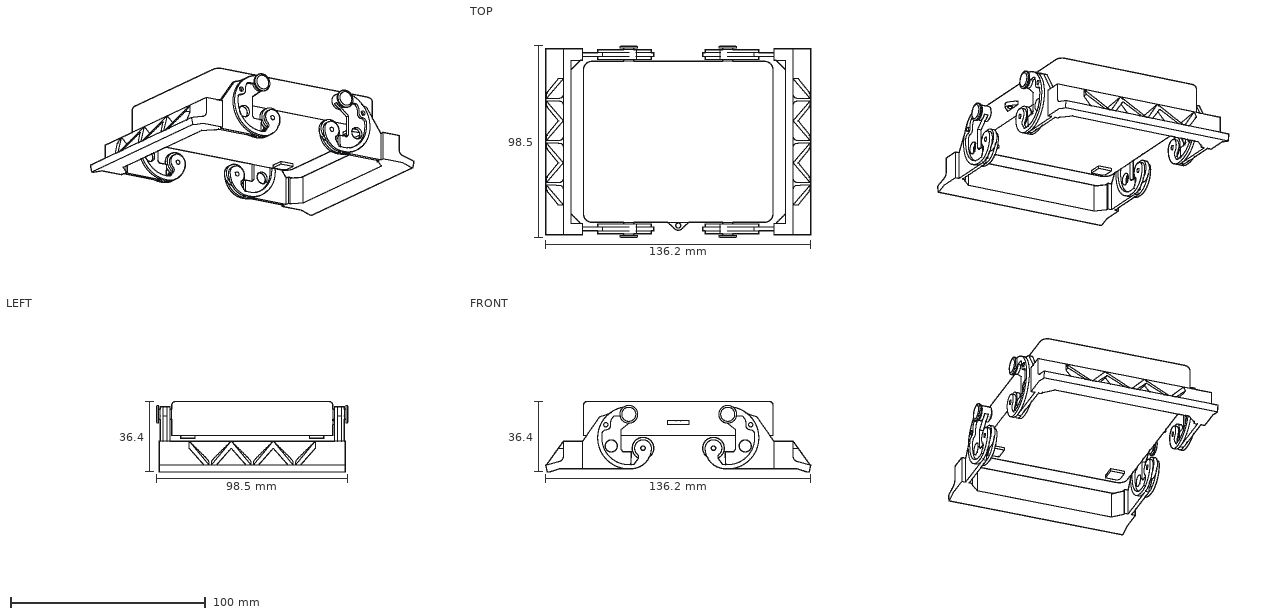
import cadquery as cq
import math


LENGTH = 136.25
WIDTH = 98.5
HEIGHT = 36.39

COVER_LENGTH = 97.5
COVER_WIDTH = 82.8
COVER_BOTTOM = 18.8
COVER_CORNER_RADIUS = 4.5
COVER_TOP_RADIUS = 2.0

PAD_DROP = 1.4
PAD_WIDTH = 7.5
PAD_OUTER_Y = 36.8
PAD_OUTER_X = 44.0
PAD_CORNER_RADIUS = 1.9

EYELET_BOTTOM = 24.4
EYELET_THICKNESS = 2.1
EYELET_BASE_HALF = 5.4
EYELET_HOLE_Y = 43.0
EYELET_HOLE_RADIUS = 1.25
EYELET_TIP_RADIUS = 2.5
EYELET_EMBED = 1.0

HANDLE_WIDTH = 95.7
HANDLE_OUTER_X = LENGTH / 2
HANDLE_WALL_X = 59.0
HANDLE_INNER_X = 55.05
HANDLE_END_X = 49.1
HANDLE_TOP = 16.0
HANDLE_BOTTOM = 1.7
HANDLE_END_INNER_Y = 41.85
LIP_BOTTOM_RUN_X = 61.0
LIP_FOOT_OUTER_X = 67.3
LIP_FOOT_INNER_X = 66.3
LIP_NOSE_Z = 3.6
LIP_ROOT_Z = 6.1
LIP_ROOT_RADIUS = 2.7
CORNER_WEB_LEG = 4.9
CORNER_WEB_TOP = 15.6

RIB_PEAKS = 4
RIB_RUN = 10.8
RIB_DEPTH = 3.7
RIB_FOOT_X = 67.7
RIB_FOOT_Z = 3.8
RIB_ROOT_Z = 2.5
NOTCH_SLOT_HALF_WIDTH = 0.6
NOTCH_APEX_Z = 5.3
NOTCH_DRAFT = 10.0

PLATE_THICKNESS = 1.55
ARM_THICKNESS = 2.0
PLATE_INNER_Y = 42.2
ARM_INNER_Y = PLATE_INNER_Y + PLATE_THICKNESS
ARM_OUTER_Y = ARM_INNER_Y + ARM_THICKNESS
PLATE_OUTER_Y = ARM_OUTER_Y + PLATE_THICKNESS

PLATE_CENTER_X = -25.4
PLATE_RADIUS = 16.0
PLATE_INNER_RADIUS = 13.85
PLATE_CENTER_Z = HANDLE_BOTTOM + PLATE_RADIUS
RIVET_HOLE_X = -37.2
RIVET_HOLE_Z = 24.4
RIVET_HOLE_RADIUS = 1.1
RIVET_SWELL_START = (-39.2, 19.6)
RIVET_SWELL_ARCS = [
    ((-38.6, 21.1), (-37.3, 21.8)),
    ((-35.4, 22.5), (-34.7, 24.3)),
    ((-34.5, 26.7), (-33.0, 28.8)),
]
ARM_HOLE_X = -34.4
ARM_HOLE_Z = 13.5
ARM_HOLE_RADIUS = 3.05

SHOULDER_FOOT = (-40.9, 27.7)
SHOULDER_MID = (-40.15, 28.5)
SHOULDER_TOP = (-39.0, 28.8)
MOUTH_X = -29.3
MOUTH_TOP_Z = 22.0
MOUTH_FLOOR_Z = 10.6
MOUTH_CHAMFER_X = 0.9
MOUTH_CHAMFER_Z = 1.1
MOUTH_LIP_X = -24.0
ARM_TOE_X = -24.4
ARM_EYE_START_ANGLE = 111
ARM_EYE_END_ANGLE = -30

HOOK_X = -18.1
HOOK_Z = 12.35
HOOK_RADIUS = 4.3
ROLLER_RADIUS = 5.6
HOOK_HOLE_RADIUS = 1.1
HOOK_NECK_ANGLE = 230
NECK_ARC_MID = (-20.4, 7.9)
NECK_ARC_END = (-20.8, 6.8)
NECK_FOOT = (-22.7, 4.1)

PIN_X = PLATE_CENTER_X
PIN_Z = 29.75
PIN_RADIUS = 2.65
PIN_HEAD_RADIUS = 4.57
PIN_HEAD_THICKNESS = 1.2
PIN_HEAD_BEVEL = 0.95
PIN_HEAD_BEVEL_DEPTH = 0.4
PIN_EMBED = 1.0
LOBE_RADIUS = PLATE_CENTER_Z + PLATE_RADIUS - PIN_Z


def slab(outline, y_inner, y_outer):
    """Extrude an XZ outline between two distances on the -Y side."""
    return outline.extrude(y_outer - y_inner).translate((0, -y_inner, 0))


def rod(x, z, radius, y_inner, y_outer):
    """Cylinder along Y on the -Y side."""
    return slab(cq.Workplane("XZ").center(x, z).circle(radius), y_inner, y_outer)


def polar(x, z, radius, degrees):
    """Point on a circle about (x, z)."""
    angle = math.radians(degrees)
    return (x + radius * math.cos(angle), z + radius * math.sin(angle))


def both_sides(body, plane):
    """The body together with its mirror image."""
    return body.union(body.mirror(plane))


def make_cover():
    cover = (
        cq.Workplane("XY")
        .workplane(offset=COVER_BOTTOM)
        .rect(COVER_LENGTH, COVER_WIDTH)
        .extrude(HEIGHT - COVER_BOTTOM)
        .edges("|Z").fillet(COVER_CORNER_RADIUS)
        .faces(">Z").edges().fillet(COVER_TOP_RADIUS)
    )
    return cover.union(make_pads()).union(make_eyelet())


def make_pads():
    pad = (
        cq.Workplane("XY")
        .workplane(offset=COVER_BOTTOM - PAD_DROP)
        .moveTo(-PAD_OUTER_X + PAD_WIDTH / 2, -PAD_OUTER_Y + PAD_WIDTH / 2)
        .rect(PAD_WIDTH, PAD_WIDTH)
        .extrude(2 * PAD_DROP)
        .edges("|Z and <X and <Y").fillet(PAD_CORNER_RADIUS)
    )
    return both_sides(both_sides(pad, "XZ"), "YZ")


def make_eyelet():
    wall_y = -COVER_WIDTH / 2
    reach = EYELET_HOLE_Y + wall_y
    flank = math.hypot(EYELET_BASE_HALF, reach)
    angle = math.atan2(reach, EYELET_BASE_HALF) + math.asin(EYELET_TIP_RADIUS / flank)
    touch_x = EYELET_TIP_RADIUS * math.sin(angle)
    touch_y = -EYELET_HOLE_Y - EYELET_TIP_RADIUS * math.cos(angle)
    root_y = wall_y + EYELET_EMBED
    return (
        cq.Workplane("XY")
        .workplane(offset=EYELET_BOTTOM)
        .moveTo(-EYELET_BASE_HALF, root_y)
        .lineTo(-EYELET_BASE_HALF, wall_y)
        .lineTo(-touch_x, touch_y)
        .threePointArc((0, -EYELET_HOLE_Y - EYELET_TIP_RADIUS), (touch_x, touch_y))
        .lineTo(EYELET_BASE_HALF, wall_y)
        .lineTo(EYELET_BASE_HALF, root_y)
        .close()
        .moveTo(0, -EYELET_HOLE_Y)
        .circle(EYELET_HOLE_RADIUS)
        .extrude(EYELET_THICKNESS)
    )


def make_handle():
    section = (
        cq.Workplane("XZ")
        .moveTo(-HANDLE_END_X, HANDLE_BOTTOM)
        .lineTo(-HANDLE_END_X, HANDLE_TOP)
        .lineTo(-HANDLE_WALL_X, HANDLE_TOP)
        .lineTo(-HANDLE_WALL_X, LIP_ROOT_Z)
        .lineTo(-HANDLE_OUTER_X, LIP_NOSE_Z)
        .lineTo(-LIP_FOOT_OUTER_X, 0)
        .lineTo(-LIP_FOOT_INNER_X, 0)
        .lineTo(-LIP_BOTTOM_RUN_X, HANDLE_BOTTOM)
        .close()
    )
    handle = section.extrude(HANDLE_WIDTH / 2, both=True)
    root_edge = cq.selectors.NearestToPointSelector((-HANDLE_WALL_X, 0, LIP_ROOT_Z))
    handle = handle.edges(root_edge).fillet(LIP_ROOT_RADIUS)
    opening = cq.Workplane("XY").box(
        HANDLE_INNER_X - HANDLE_END_X,
        2 * HANDLE_END_INNER_Y,
        HANDLE_TOP,
        centered=(False, True, False),
    ).translate((-HANDLE_INNER_X, 0, 0))
    web = (
        cq.Workplane("XY")
        .workplane(offset=HANDLE_BOTTOM)
        .moveTo(-HANDLE_INNER_X, -HANDLE_END_INNER_Y)
        .lineTo(-HANDLE_INNER_X + CORNER_WEB_LEG, -HANDLE_END_INNER_Y)
        .lineTo(-HANDLE_INNER_X, -HANDLE_END_INNER_Y + CORNER_WEB_LEG)
        .close()
        .extrude(CORNER_WEB_TOP - HANDLE_BOTTOM)
    )
    return handle.cut(opening).union(both_sides(web, "XZ")).union(make_ribs())


def make_ribs():
    steps = 2 * (RIB_PEAKS - 1)
    half_length = steps / 2 * RIB_RUN
    zigzag = []
    for step in range(steps + 1):
        z = HANDLE_TOP if step % 2 == 0 else RIB_FOOT_Z
        zigzag.append((half_length - step * RIB_RUN, z - RIB_DEPTH))
    ribs = (
        cq.Workplane("YZ")
        .workplane(offset=-RIB_FOOT_X)
        .polyline([(-half_length, HANDLE_TOP), (half_length, HANDLE_TOP)] + zigzag)
        .close()
        .extrude(RIB_FOOT_X - HANDLE_INNER_X)
    )
    for gap in range(RIB_PEAKS - 1):
        ribs = ribs.cut(make_notch((2 * gap + 1) * RIB_RUN - half_length))
    envelope = (
        cq.Workplane("XZ")
        .moveTo(-RIB_FOOT_X, RIB_ROOT_Z)
        .lineTo(-RIB_FOOT_X, RIB_FOOT_Z)
        .lineTo(-HANDLE_WALL_X, HANDLE_TOP)
        .lineTo(-HANDLE_INNER_X, HANDLE_TOP)
        .lineTo(-HANDLE_INNER_X, RIB_ROOT_Z)
        .close()
        .extrude(HANDLE_WIDTH / 2, both=True)
    )
    return ribs.intersect(envelope)


def make_notch(y):
    """V notch between two ribs, widening away from the handle wall, with a slot at its foot."""
    run_out = HANDLE_WALL_X - RIB_FOOT_X
    notch = (
        cq.Workplane("YZ", origin=(-HANDLE_WALL_X, y, 0))
        .moveTo(-RIB_RUN, HANDLE_TOP)
        .lineTo(0, NOTCH_APEX_Z)
        .lineTo(RIB_RUN, HANDLE_TOP)
        .close()
        .extrude(run_out, taper=-NOTCH_DRAFT)
    )
    slot_top = NOTCH_APEX_Z + NOTCH_SLOT_HALF_WIDTH * (HANDLE_TOP - NOTCH_APEX_Z) / RIB_RUN
    slot = (
        cq.Workplane("YZ", origin=(-HANDLE_WALL_X, y, slot_top / 2))
        .rect(2 * NOTCH_SLOT_HALF_WIDTH, slot_top)
        .extrude(run_out)
    )
    return notch.union(slot)


def make_arm():
    web = (
        cq.Workplane("XZ")
        .moveTo(-HANDLE_INNER_X, HANDLE_BOTTOM)
        .lineTo(-HANDLE_INNER_X, HANDLE_TOP)
        .lineTo(-HANDLE_END_X, HANDLE_TOP)
        .lineTo(*SHOULDER_FOOT)
        .threePointArc(SHOULDER_MID, SHOULDER_TOP)
        .lineTo(*polar(PIN_X, PIN_Z, LOBE_RADIUS, ARM_EYE_START_ANGLE))
        .threePointArc(
            (PIN_X + LOBE_RADIUS, PIN_Z),
            polar(PIN_X, PIN_Z, LOBE_RADIUS, ARM_EYE_END_ANGLE),
        )
        .lineTo(MOUTH_X, MOUTH_TOP_Z)
        .lineTo(MOUTH_X, MOUTH_FLOOR_Z + MOUTH_CHAMFER_Z)
        .lineTo(MOUTH_X + MOUTH_CHAMFER_X, MOUTH_FLOOR_Z)
        .lineTo(MOUTH_LIP_X, MOUTH_FLOOR_Z)
        .lineTo(ARM_TOE_X, HANDLE_BOTTOM)
        .close()
    )
    return slab(web, ARM_INNER_Y, ARM_OUTER_Y)


def make_plate(y_inner):
    y_outer = y_inner + PLATE_THICKNESS
    cx, cz = PLATE_CENTER_X, PLATE_CENTER_Z
    hook_right = HOOK_X + HOOK_RADIUS
    tail_radius = HOOK_Z - HANDLE_BOTTOM
    tail_x = hook_right - tail_radius
    outline = (
        cq.Workplane("XZ")
        .moveTo(cx, cz + PLATE_RADIUS)
        .threePointArc((cx - PLATE_RADIUS, cz), (cx, cz - PLATE_RADIUS))
        .lineTo(tail_x, HANDLE_BOTTOM)
        .threePointArc(polar(tail_x, HOOK_Z, tail_radius, -45), (hook_right, HOOK_Z))
        .threePointArc(
            polar(HOOK_X, HOOK_Z, HOOK_RADIUS, HOOK_NECK_ANGLE / 2),
            polar(HOOK_X, HOOK_Z, HOOK_RADIUS, HOOK_NECK_ANGLE),
        )
        .threePointArc(NECK_ARC_MID, NECK_ARC_END)
        .lineTo(*NECK_FOOT)
        .lineTo(cx, cz - PLATE_INNER_RADIUS)
        .threePointArc(polar(cx, cz, PLATE_INNER_RADIUS, 225), (cx - PLATE_INNER_RADIUS, cz))
        .lineTo(*RIVET_SWELL_START)
    )
    for middle, end in RIVET_SWELL_ARCS:
        outline = outline.threePointArc(middle, end)
    swell_top_z = RIVET_SWELL_ARCS[-1][1][1]
    outline = outline.lineTo(PIN_X, swell_top_z).close()
    lobe = rod(PIN_X, PIN_Z, LOBE_RADIUS, y_inner, y_outer)
    rivet_hole = rod(RIVET_HOLE_X, RIVET_HOLE_Z, RIVET_HOLE_RADIUS, y_inner, y_outer)
    return slab(outline, y_inner, y_outer).union(lobe).cut(rivet_hole)


def make_pin():
    wall_y = COVER_WIDTH / 2
    head_inner_y = WIDTH / 2 - PIN_HEAD_THICKNESS
    shank = rod(PIN_X, PIN_Z, PIN_RADIUS, wall_y - PIN_EMBED, head_inner_y)
    head = rod(PIN_X, PIN_Z, PIN_HEAD_RADIUS, head_inner_y, WIDTH / 2)
    head = head.faces("<Y").chamfer(PIN_HEAD_BEVEL_DEPTH, PIN_HEAD_BEVEL)
    return shank.union(head)


def make_lever_side():
    side = make_arm()
    side = side.union(rod(HOOK_X, HOOK_Z, ROLLER_RADIUS, ARM_INNER_Y, ARM_OUTER_Y))
    side = side.union(make_plate(PLATE_INNER_Y)).union(make_plate(ARM_OUTER_Y))
    side = side.cut(rod(ARM_HOLE_X, ARM_HOLE_Z, ARM_HOLE_RADIUS, PLATE_INNER_Y, PLATE_OUTER_Y))
    side = side.cut(rod(HOOK_X, HOOK_Z, HOOK_HOLE_RADIUS, PLATE_INNER_Y, PLATE_OUTER_Y))
    return side.union(make_pin())


lever = make_handle().union(both_sides(make_lever_side(), "XZ"))
result = make_cover().union(both_sides(lever, "YZ"))